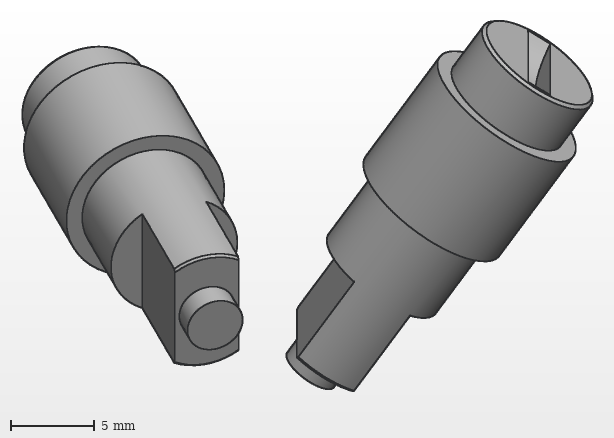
import cadquery as cq

total_length = 24.65
collar_start = 3.5
collar_end = 11.5
flats_start = 16.93
shoulder_end = 23.1

shaft_diameter = 8.0
collar_diameter = 10.0
pin_diameter = 3.5

face_chamfer = 0.2
shoulder_chamfer = 0.15
flats_thickness = 4.05
slot_width = 1.6
slot_chord = 7.1
slot_depth = 1.6


def cylinder(start, end, diameter):
    """Solid cylinder along X between two stations."""
    return cq.Workplane("YZ", origin=(start, 0, 0)).circle(diameter / 2).extrude(end - start)


def make_flat(side):
    """Material outside one of the two parallel flats; side is +1 or -1."""
    depth = (shaft_diameter - flats_thickness) / 2
    return cq.Workplane("XY").box(
        shoulder_end - flats_start, depth, shaft_diameter, centered=(False, True, True)
    ).translate((flats_start, side * (flats_thickness + depth) / 2, 0))


def make_slot():
    """Screwdriver slot with a floor curved like a disc cutter, on the end face."""
    cutter_radius = ((slot_chord / 2) ** 2 + slot_depth**2) / (2 * slot_depth)
    cutter_center = slot_depth - cutter_radius
    return (
        cq.Workplane("XZ", origin=(cutter_center, slot_width / 2, 0))
        .circle(cutter_radius)
        .extrude(slot_width)
    )


shaft = cylinder(0, shoulder_end, shaft_diameter)
shaft = shaft.faces("<X").chamfer(face_chamfer).faces(">X").chamfer(shoulder_chamfer)
collar = cylinder(collar_start, collar_end, collar_diameter)
pin = cylinder(shoulder_end, total_length, pin_diameter)

result = shaft.union(collar)
for side in (-1, 1):
    result = result.cut(make_flat(side))
result = result.union(pin).cut(make_slot())